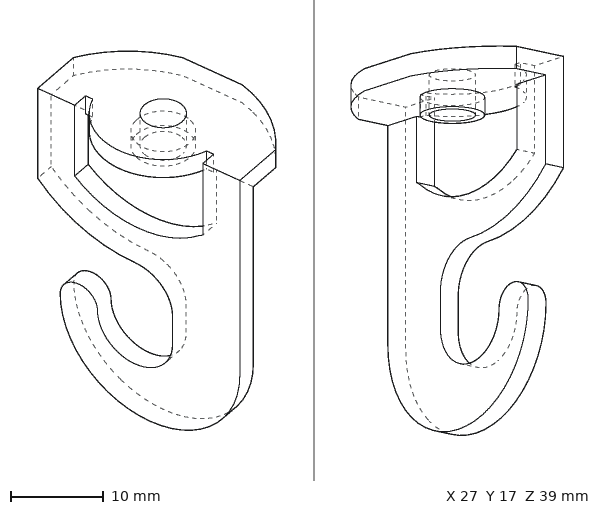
import cadquery as cq
import math

width = 27.0
half_width = width / 2
height = 39.0
thickness = 2.5

plate_back_y = 9.0
wall_front_y = -4.5
wall_back_y = wall_front_y + thickness
plate_arc_radius = 16.0
plate_arc_center_y = -6.5
tongue_radius = 8.0
notch_depth = 2.0

hole_radius = 2.5
collar_radius = 3.5
collar_height = 2.0

window_half_width = 8.55
window_arc_radius = 13.0
window_bevel_width = 0.5
window_bevel_top_z = -9.9

hook_outer_radius = 12.0
hook_inner_radius = 5.0
hook_outer_x = half_width - hook_outer_radius
hook_center_z = hook_outer_radius - height
tip_radius = 2.5
hook_tip_x = hook_outer_x - hook_outer_radius
hook_inner_x = hook_tip_x + 2 * tip_radius + hook_inner_radius
throat_x = hook_inner_x + hook_inner_radius
throat_fillet_radius = 5.0
shoulder_radius = 18.0


def arc_point(center_x, center_y, radius, degrees):
    """Point on a circle at an angle measured from the first axis."""
    angle = math.radians(degrees)
    return center_x + radius * math.cos(angle), center_y + radius * math.sin(angle)


def leg(hypotenuse, other_leg):
    """Remaining side of a right triangle."""
    return math.sqrt(hypotenuse**2 - other_leg**2)


def make_plate():
    """Flat plate with a curved, clipped back edge and a square front edge."""
    side_y = plate_arc_center_y + leg(plate_arc_radius, half_width)
    flat_half_length = leg(plate_arc_radius, plate_back_y - plate_arc_center_y)
    side_angle = math.degrees(math.atan2(side_y - plate_arc_center_y, half_width))
    flat_angle = math.degrees(math.atan2(plate_back_y - plate_arc_center_y, flat_half_length))
    mid_x, mid_y = arc_point(0, plate_arc_center_y, plate_arc_radius, (side_angle + flat_angle) / 2)
    return (
        cq.Workplane("XY")
        .moveTo(-half_width, wall_front_y)
        .lineTo(half_width, wall_front_y)
        .lineTo(half_width, side_y)
        .threePointArc((mid_x, mid_y), (flat_half_length, plate_back_y))
        .lineTo(-flat_half_length, plate_back_y)
        .threePointArc((-mid_x, mid_y), (-half_width, side_y))
        .close()
        .extrude(-thickness)
    )


def make_hook_wall():
    """Upright wall whose lower end is the hook; its shoulder arc runs tangent into the throat."""
    shoulder_end_z = -leg(shoulder_radius, half_width + hook_inner_x)
    shoulder_end_angle = math.degrees(math.atan2(shoulder_end_z, -half_width - hook_inner_x))
    shoulder_mid = arc_point(hook_inner_x, 0, shoulder_radius, (shoulder_end_angle - 90) / 2)
    throat_top_z = -shoulder_radius - throat_fillet_radius
    fillet_center_x = throat_x - throat_fillet_radius
    return (
        cq.Workplane("XZ", origin=(0, wall_back_y, 0))
        .moveTo(-half_width, 0)
        .lineTo(half_width, 0)
        .lineTo(half_width, hook_center_z)
        .threePointArc((hook_outer_x, -height), (hook_tip_x, hook_center_z))
        .threePointArc(
            (hook_tip_x + tip_radius, hook_center_z + tip_radius),
            (hook_tip_x + 2 * tip_radius, hook_center_z),
        )
        .threePointArc((hook_inner_x, hook_center_z - hook_inner_radius), (throat_x, hook_center_z))
        .lineTo(throat_x, throat_top_z)
        .threePointArc(
            arc_point(fillet_center_x, throat_top_z, throat_fillet_radius, 45),
            (hook_inner_x, -shoulder_radius),
        )
        .threePointArc(shoulder_mid, (-half_width, shoulder_end_z))
        .close()
        .extrude(thickness)
    )


def make_window():
    """Opening through the wall below the plate; its curved bottom ends in a short bevel at +X."""
    arc_left_z = -leg(window_arc_radius, window_half_width)
    arc_right_x = window_half_width - window_bevel_width
    arc_right_z = -leg(window_arc_radius, arc_right_x)
    return (
        cq.Workplane("XZ", origin=(0, wall_back_y, 0))
        .moveTo(-window_half_width, -thickness)
        .lineTo(window_half_width, -thickness)
        .lineTo(window_half_width, window_bevel_top_z)
        .lineTo(arc_right_x, arc_right_z)
        .threePointArc((0, -window_arc_radius), (-window_half_width, arc_left_z))
        .close()
        .extrude(thickness)
    )


def make_notch():
    """Recess in the front edge of the plate, as wide as the window."""
    return (
        cq.Workplane("XY")
        .box(2 * window_half_width, notch_depth, thickness, centered=(True, False, False))
        .translate((0, wall_front_y, -thickness))
    )


def make_cylinder(radius, length):
    """Cylinder on the hole axis, reaching down from the top of the plate."""
    return cq.Workplane("XY").circle(radius).extrude(-length)


collar_bottom_depth = thickness + collar_height

result = (
    make_plate()
    .union(make_hook_wall())
    .cut(make_window())
    .cut(make_notch())
    .union(make_cylinder(tongue_radius, thickness))
    .union(make_cylinder(collar_radius, collar_bottom_depth))
    .cut(make_cylinder(hole_radius, collar_bottom_depth))
)